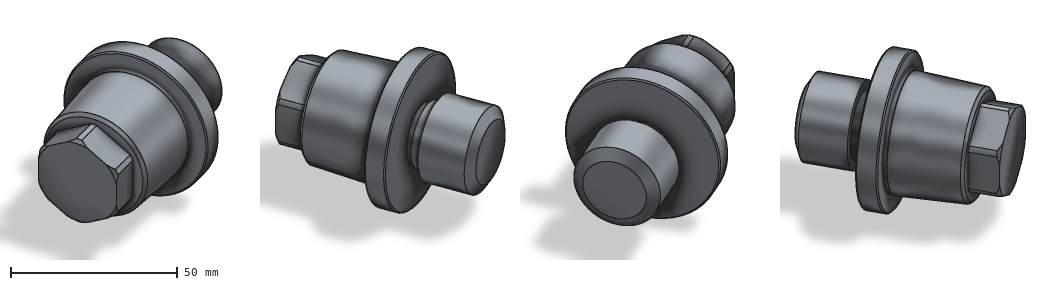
import cadquery as cq
import math


hex_across_flats = 27.0
hex_corner_radius = 15.1
hex_length = 10.0
hex_chamfer = 1.05

body_small_radius = 18.0
body_large_radius = 19.1
body_chamfer = 1.05
body_land_length = 0.8

relief_neck_radius = 18.9
relief_length = 1.3
relief_ramp_length = 0.2
relief_fillet_radius = 0.65
relief_face_radius = 20.35
relief_face_depth = 0.1

flange_radius = 25.0
flange_thickness = 7.0
flange_chamfer = 0.45
flange_front = 35.0
flange_back = flange_front + flange_thickness

stem_radius = 10.0
stem_end = 44.0
collar_radius = 10.95
collar_end = 47.7
head_radius = 13.95
head_chamfer_length = 2.15
head_chamfer_angle = 60
head_end = 65.25


def make_hexagon():
    """Hexagonal prism with turned corners and a chamfered end."""
    across_corners = hex_across_flats / math.cos(math.radians(30))
    prism = (
        cq.Workplane("XZ")
        .transformed(rotate=(0, 0, 90))
        .polygon(6, across_corners)
        .extrude(-hex_length)
    )
    turning = (
        cq.Workplane("XZ")
        .circle(hex_corner_radius)
        .extrude(-hex_length)
        .faces("<Y")
        .chamfer(hex_chamfer)
    )
    return prism.intersect(turning)


def make_turned_body():
    """Revolve the tapered body, flange, stem and head; points are (radius, Y)."""
    relief_start = flange_front - relief_length
    relief_floor = flange_front + relief_face_depth
    fillet_center_radius = relief_neck_radius + relief_fillet_radius
    fillet_center_y = relief_floor - relief_fillet_radius
    fillet_reach = relief_fillet_radius * math.sqrt(0.5)
    head_chamfer_depth = head_chamfer_length * math.tan(math.radians(head_chamfer_angle))

    profile = (
        cq.Workplane("XY")
        .moveTo(0, hex_length)
        .lineTo(body_small_radius - body_chamfer, hex_length)
        .lineTo(body_small_radius, hex_length + body_chamfer)
        .lineTo(body_large_radius, relief_start - body_land_length)
        .lineTo(body_large_radius, relief_start)
        .lineTo(relief_neck_radius, relief_start + relief_ramp_length)
        .lineTo(relief_neck_radius, fillet_center_y)
        .threePointArc(
            (fillet_center_radius - fillet_reach, fillet_center_y + fillet_reach),
            (fillet_center_radius, relief_floor),
        )
        .lineTo(relief_face_radius, flange_front)
        .lineTo(flange_radius - flange_chamfer, flange_front)
        .lineTo(flange_radius, flange_front + flange_chamfer)
        .lineTo(flange_radius, flange_back - flange_chamfer)
        .lineTo(flange_radius - flange_chamfer, flange_back)
        .lineTo(stem_radius, flange_back)
        .lineTo(stem_radius, stem_end)
        .lineTo(collar_radius, stem_end)
        .lineTo(collar_radius, collar_end)
        .lineTo(head_radius, collar_end)
        .lineTo(head_radius, head_end - head_chamfer_length)
        .lineTo(head_radius - head_chamfer_depth, head_end)
        .lineTo(0, head_end)
        .close()
    )
    return profile.revolve(360, (0, 0, 0), (0, 1, 0))


result = make_turned_body().union(make_hexagon())